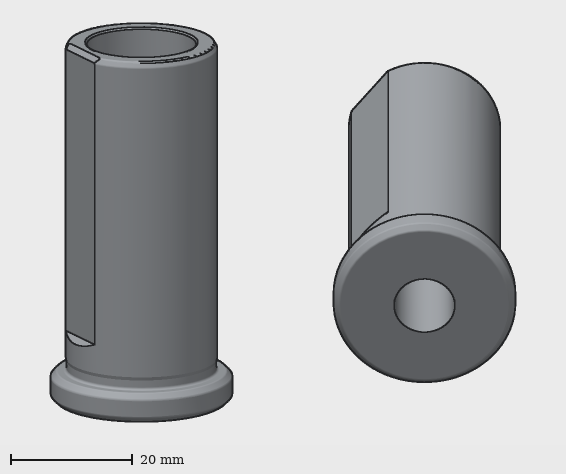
import cadquery as cq
import math

total_height = 61.0
edge_round = 0.5

collar_radius = 15.0
collar_height = 5.0
collar_chamfer = 1.0

neck_radius = 12.35
neck_top = 6.65

body_radius = 12.5
taper_angle = 15.0
top_bevel_height = 1.0
top_bevel_angle = 30.0

bore_radius = 18.0 / 2
bore_depth = 8.0
bore_chamfer = 0.3
hole_radius = 10.0 / 2
cone_angle = 45.0

flat_width = 9.8
flat_bottom = 12.1
flat_top_chamfer = 0.85
flat_distance = math.sqrt(body_radius**2 - (flat_width / 2)**2)

body_start = neck_top + (body_radius - neck_radius) / math.tan(math.radians(taper_angle))
bevel_start = total_height - top_bevel_height
top_radius = body_radius - top_bevel_height * math.tan(math.radians(top_bevel_angle))


def revolve_profile(points):
    """Revolve a closed (radius, height) outline about the Z axis."""
    return cq.Workplane("XZ").polyline(points).close().revolve(360, (0, 0, 0), (0, 1, 0))


def make_outside():
    """Collar, neck and body, with all edges blended except those of the neck taper."""
    solid = revolve_profile([
        (0, 0),
        (collar_radius - collar_chamfer, 0),
        (collar_radius, collar_chamfer),
        (collar_radius, collar_height - collar_chamfer),
        (collar_radius - collar_chamfer, collar_height),
        (neck_radius, collar_height),
        (neck_radius, neck_top),
        (body_radius, body_start),
        (body_radius, bevel_start),
        (top_radius, total_height),
        (0, total_height),
    ])
    collar_edges = cq.selectors.BoxSelector(
        (-collar_radius, -collar_radius, -edge_round),
        (collar_radius, collar_radius, collar_height + edge_round),
    )
    top_edges = cq.selectors.BoxSelector(
        (-collar_radius, -collar_radius, bevel_start - edge_round),
        (collar_radius, collar_radius, total_height + edge_round),
    )
    return solid.edges("%CIRCLE").edges(collar_edges + top_edges).fillet(edge_round)


def make_bore():
    """Wide bore from the top, narrowing through a funnel to the through hole."""
    cone_top = total_height - bore_depth
    cone_height = (bore_radius - hole_radius) / math.tan(math.radians(cone_angle))
    return revolve_profile([
        (0, 0),
        (hole_radius, 0),
        (hole_radius, cone_top - cone_height),
        (bore_radius, cone_top),
        (bore_radius, total_height - bore_chamfer),
        (bore_radius + bore_chamfer, total_height),
        (0, total_height),
    ])


def make_flat_cutter():
    """Prism that cuts the flat, its 45 degree run-out and its 45 degree top chamfer."""
    runout = collar_radius - flat_distance
    return (
        cq.Workplane("YZ")
        .polyline([
            (-flat_distance, flat_bottom),
            (-flat_distance, total_height - flat_top_chamfer),
            (-flat_distance + flat_top_chamfer, total_height),
            (-collar_radius, total_height),
            (-collar_radius, flat_bottom - runout),
        ])
        .close()
        .extrude(collar_radius, both=True)
    )


result = make_outside().cut(make_bore()).cut(make_flat_cutter())